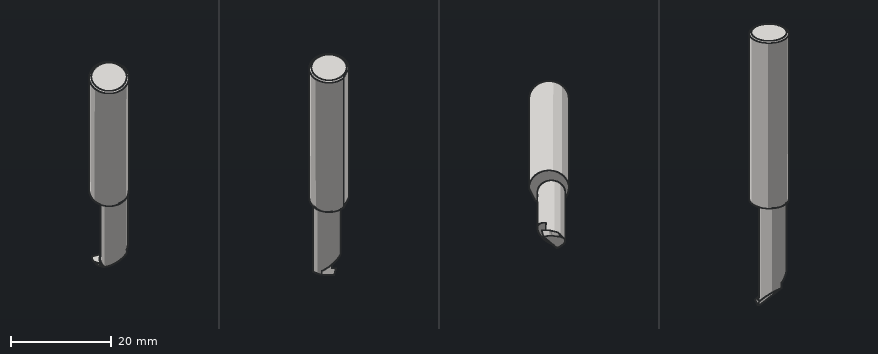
import cadquery as cq
import math

OVERALL_LENGTH = 63.5
SHANK_LENGTH = 38.1
SHANK_DIAMETER = 7.9375
SHANK_RADIUS = SHANK_DIAMETER / 2
WIDTH_ACROSS_FLAT = 7.68
FLAT_OFFSET = WIDTH_ACROSS_FLAT - SHANK_RADIUS
CHAMFER_DEPTH = 0.45
CHAMFER_ANGLE = math.radians(30)
CHAMFER_HEIGHT = CHAMFER_DEPTH * math.tan(CHAMFER_ANGLE)

NECK_LENGTH = OVERALL_LENGTH - SHANK_LENGTH
NECK_RADIUS = 2.79
NECK_CENTER_X = SHANK_RADIUS - NECK_RADIUS
HALVING_DEPTH = 17.55

UNDERSIDE_OFFSET = 22.62
TIP_DIRECTION = (-1, 0, -1)
TIP_SLOPE = math.sin(math.radians(45))

LEDGE_DEPTH = 22.25
TIP_LENGTH = (NECK_LENGTH - LEDGE_DEPTH) / TIP_SLOPE
TIP_THICKNESS = 1.43
RAKE_ANGLE = math.radians(11)
TAPER_LENGTH = 3.15
TAPER_END_WIDTH = 1.45
NOSE_RADIUS = 2.8

ROOT_RADIUS = 0.7
ROOT_SWEEP = 35
ROOT_EMBED = 0.4
TIP_FACE_OFFSET = UNDERSIDE_OFFSET - TIP_THICKNESS / TIP_SLOPE
ROOT_CORNER_Z = NECK_CENTER_X - NECK_RADIUS - TIP_FACE_OFFSET

TIP_ORIGIN = (UNDERSIDE_OFFSET - LEDGE_DEPTH, 0, -LEDGE_DEPTH)


def make_shank():
    bar = (
        cq.Workplane("XZ")
        .lineTo(SHANK_RADIUS, 0)
        .lineTo(SHANK_RADIUS, SHANK_LENGTH - CHAMFER_HEIGHT)
        .lineTo(SHANK_RADIUS - CHAMFER_DEPTH, SHANK_LENGTH)
        .lineTo(0, SHANK_LENGTH)
        .close()
        .revolve(360, (0, 0), (0, 1))
    )
    beyond_flat = (
        cq.Workplane("XY", origin=(0, FLAT_OFFSET, 0))
        .box(SHANK_DIAMETER, SHANK_DIAMETER, SHANK_LENGTH, centered=(True, False, False))
    )
    return bar.cut(beyond_flat)


def make_neck():
    bar = cq.Workplane("XY").center(NECK_CENTER_X, 0).circle(NECK_RADIUS).extrude(-NECK_LENGTH)
    below_underside = (
        cq.Workplane("XZ")
        .moveTo(UNDERSIDE_OFFSET, 0)
        .lineTo(UNDERSIDE_OFFSET - NECK_LENGTH, -NECK_LENGTH)
        .lineTo(UNDERSIDE_OFFSET, -NECK_LENGTH)
        .close()
        .extrude(NECK_RADIUS, both=True)
    )
    removed_half = (
        cq.Workplane("YZ")
        .moveTo(0, -NECK_LENGTH)
        .lineTo(NECK_RADIUS, -NECK_LENGTH)
        .lineTo(NECK_RADIUS, NECK_RADIUS - HALVING_DEPTH)
        .lineTo(0, -HALVING_DEPTH)
        .close()
        .extrude(SHANK_DIAMETER, both=True)
    )
    return bar.cut(below_underside).cut(removed_half)


def make_tip():
    underside = cq.Plane(origin=TIP_ORIGIN, xDir=TIP_DIRECTION, normal=(-1, 0, 1))
    outline = (
        cq.Workplane(underside)
        .lineTo(TIP_LENGTH, 0)
        .radiusArc((TAPER_LENGTH, TAPER_END_WIDTH), -NOSE_RADIUS)
        .lineTo(0, NECK_RADIUS)
        .close()
        .extrude(TIP_THICKNESS)
    )
    across_tip = cq.Plane(origin=TIP_ORIGIN, xDir=(0, -1, 0), normal=TIP_DIRECTION)
    rake_drop = NECK_RADIUS * math.tan(RAKE_ANGLE)
    raked_bar = (
        cq.Workplane(across_tip)
        .lineTo(NECK_RADIUS, 0)
        .lineTo(NECK_RADIUS, TIP_THICKNESS - rake_drop)
        .lineTo(0, TIP_THICKNESS)
        .close()
        .extrude(TIP_LENGTH)
    )
    above_ledge = cq.Workplane("XY", origin=(0, 0, -LEDGE_DEPTH)).box(
        SHANK_DIAMETER, SHANK_DIAMETER, LEDGE_DEPTH, centered=(True, True, False)
    )
    return outline.intersect(raked_bar).cut(above_ledge)


def make_root():
    corner_turn = math.radians(45)
    tangent_length = ROOT_RADIUS * math.tan(corner_turn / 2)
    top_z = ROOT_CORNER_Z + tangent_length
    arc_center_x = -NECK_RADIUS - ROOT_RADIUS

    def arc_point(turn):
        return (arc_center_x + ROOT_RADIUS * math.cos(turn), top_z - ROOT_RADIUS * math.sin(turn))

    arc_end = arc_point(corner_turn)
    inner_x = ROOT_EMBED - NECK_RADIUS
    return (
        cq.Workplane("XZ", origin=(NECK_CENTER_X, 0, 0))
        .moveTo(*arc_point(0))
        .threePointArc(arc_point(corner_turn / 2), arc_end)
        .lineTo(inner_x, arc_end[1])
        .lineTo(inner_x, top_z)
        .close()
        .revolve(ROOT_SWEEP, (0, 0), (0, 1))
    )


result = make_shank().union(make_neck()).union(make_tip()).union(make_root())